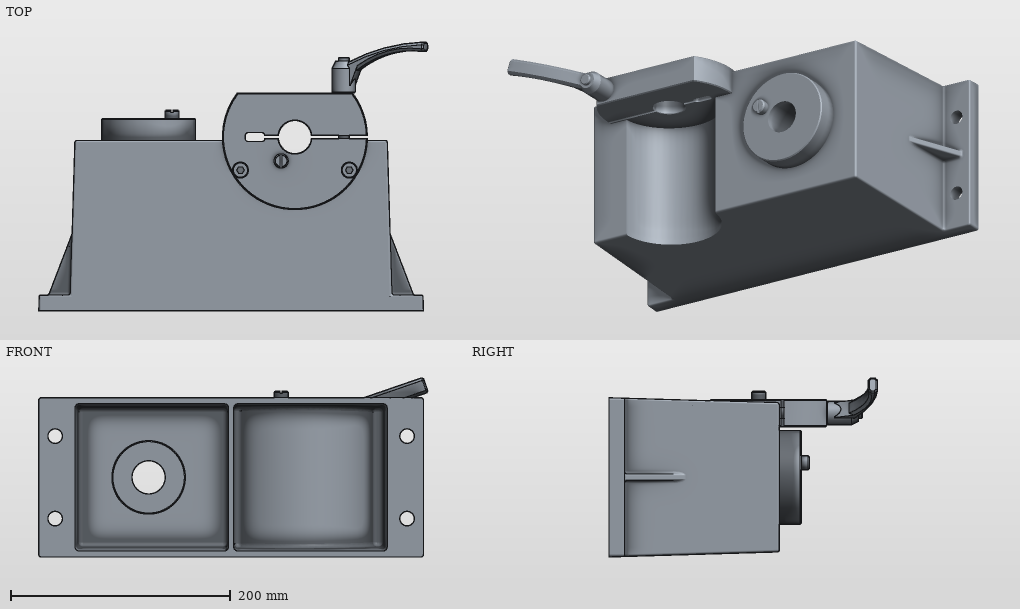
import cadquery as cq
import math


plate_length = 350.0
plate_height = 145.0
plate_thickness = 14.3
plate_edge_radius = 1.5
plate_corner_radius = 2.5
body_length = 293.5
body_depth = 155.0
body_draft = 1.7
body_edge_radius = 2.0
joint_radius = 2.5
mount_hole_diameter = 13.0
mount_hole_span_x = 320.0
mount_hole_span_z = 75.0

margin = 1.0

rib_thickness = 6.0
rib_foot_x = 166.0
rib_tip_y = 70.0
rib_edge_radius = 1.5

wall = 6.0
left_chamber_depth = 95.0
right_chamber_depth = body_depth - wall
chamber_outer_x = 142.0
chamber_outer_x_at_floor = 138.3
partition_half = 2.3
partition_half_at_floor = 3.3
chamber_half_height = 67.0
chamber_half_height_at_floor = 62.9
chamber_radius = 4.0

bore_diameter = 30.0
bore_chamfer = 0.5
bush_x = -75.0
bush_flange_diameter = 85.5
bush_flange_thickness = 20.0
spigot_diameter = 67.0
bush_chamfer = 1.0

pin_diameter = 13.0
pin_protrusion = 7.5
pin_depth = 12.0
pin_chamfer = 1.2
pin_circle_radius = 25.0
pin_slot_width = 2.0
pin_slot_depth = 2.0
bush_pin_angle = 32.0
clamp_pin_angle = 240.0

clamp_x = 58.0
clamp_y = 158.0
clamp_radius = 66.0
clamp_top_z = 71.0
clamp_thickness = 25.0
clamp_flat_offset = 40.0
clamp_chamfer = 1.0
slit_width = 3.0
hinge_slot_width = 8.0
hinge_slot_corner_radius = 2.5
hinge_slot_inner = 27.5
hinge_slot_outer = 45.0
clamp_bottom_z = clamp_top_z - clamp_thickness
clamp_mid_z = clamp_top_z - clamp_thickness / 2
clamp_flat_y = clamp_y + clamp_flat_offset

notch_radius = 48.0
round_wall_radius = clamp_radius + wall

screw_offset_x = 49.5
screw_offset_y = -30.0
screw_diameter = 8.0
screw_head_diameter = 13.0
screw_head_height = 8.0
screw_length = 40.0
screw_socket_flats = 6.0
screw_socket_depth = 4.0
counterbore_diameter = 14.5
counterbore_depth = 8.5

lever_x = clamp_x + 44.5
lever_angle = 19.0
stud_diameter = 10.0
stud_depth = 58.0
collar_radius = 9.5
collar_height = 1.0
hub_radius = 10.8
hub_shoulder_height = 22.5
hub_top_height = 29.0
hub_top_radius = 7.5
cap_radius = 5.0
cap_height = 32.5
cap_chamfer = 0.8
arm_length = 78.8
arm_width = 14.6
arm_top_y = 244.5
arm_root_x = 1.0
arm_root_bottom = 7.0
arm_root_top = 25.5
arm_web_foot = (8.5, arm_root_bottom)
arm_web_end = (13.7, 20.5)
arm_lower_arc_middle = (38.0, 33.7)
arm_upper_arc_middle = (40.0, 41.0)
arm_tip_thickness = 9.0
arm_edge_chamfer = 2.5
arm_tip_chamfer = 1.5


def y_plane(x, y, z):
    """Workplane facing +Y whose local x is the global Z and local y the global X."""
    return cq.Workplane(cq.Plane(origin=(x, y, z), xDir=(0, 0, 1), normal=(0, 1, 0)))


def z_cylinder(x, y, radius, z_low, z_high):
    return cq.Workplane(origin=(x, y, z_low)).circle(radius).extrude(z_high - z_low)


def slotted_pin():
    """Pin along +Z with its seating plane on z = 0."""
    length = pin_depth + pin_protrusion
    blank = cq.Workplane(origin=(0, 0, -pin_depth)).circle(pin_diameter / 2).extrude(length)
    blank = blank.faces(">Z").chamfer(pin_chamfer)
    slot = cq.Workplane(origin=(0, 0, pin_protrusion - pin_slot_depth / 2))
    slot = slot.box(pin_slot_width, 2 * pin_diameter, pin_slot_depth)
    return blank.cut(slot)


def pin_hole():
    return cq.Workplane(origin=(0, 0, -pin_depth)).circle(pin_diameter / 2).extrude(pin_depth)


def on_clamp(shape):
    """Move a pin-shaped body from the origin to its place on the clamp."""
    angle = math.radians(clamp_pin_angle)
    x = clamp_x + pin_circle_radius * math.cos(angle)
    y = clamp_y + pin_circle_radius * math.sin(angle)
    return shape.translate((x, y, clamp_top_z))


def on_bush(shape):
    """Turn a pin-shaped body to point along +Y and move it to its place on the bush."""
    angle = math.radians(bush_pin_angle)
    x = bush_x + pin_circle_radius * math.cos(angle)
    z = pin_circle_radius * math.sin(angle)
    turned = shape.rotate((0, 0, 0), (1, 0, 0), -90)
    return turned.translate((x, body_depth + bush_flange_thickness, z))


def housing_shell():
    body = y_plane(0, 0, 0).rect(plate_height, body_length).extrude(body_depth, taper=body_draft)
    body = body.edges("not(<Y)").fillet(body_edge_radius)
    outline = cq.Sketch().rect(plate_height, plate_length).vertices().fillet(plate_corner_radius)
    plate = y_plane(0, 0, 0).placeSketch(outline).extrude(plate_thickness, taper=body_draft)
    plate = plate.faces(">Y").edges().fillet(plate_edge_radius)
    return plate.union(body)


def drafted_envelope():
    """Prism on the plate outline that holds the corner fillets within the drafted faces."""
    return y_plane(0, 0, 0).rect(plate_height, plate_length).extrude(body_depth, taper=body_draft)


def rib(side):
    inner_x = body_length / 2 - wall / 2
    face_x = body_length / 2 - rib_tip_y * math.tan(math.radians(body_draft))
    outline = [
        (side * inner_x, plate_thickness / 2),
        (side * rib_foot_x, plate_thickness / 2),
        (side * rib_foot_x, plate_thickness),
        (side * face_x, rib_tip_y),
        (side * inner_x, rib_tip_y),
    ]
    return cq.Workplane("XY").polyline(outline).close().extrude(rib_thickness / 2, both=True)


def rib_slope_edges(side):
    """Selects the two sloping edges of a rib, by their midpoints."""
    x = (rib_foot_x + body_length / 2) / 2
    y = (plate_thickness + rib_tip_y) / 2
    reach = rib_thickness
    near = (side * (x - reach), y - reach, -reach)
    far = (side * (x + reach), y + reach, reach)
    return cq.selectors.BoxSelector(near, far)


def joint_edges(side):
    """Selects the inner corners where plate, body end and rib meet."""
    inner_x = side * (body_length / 2 - wall)
    outer_x = side * (rib_foot_x + margin)
    half_height = plate_height / 2 - margin
    plate_corners = cq.selectors.BoxSelector(
        (inner_x, plate_thickness - margin, -half_height),
        (outer_x, plate_thickness + margin, half_height),
    )
    rib_corners = cq.selectors.BoxSelector(
        (inner_x, plate_thickness, -rib_thickness),
        (side * (body_length / 2 + margin), rib_tip_y + margin, rib_thickness),
    )
    return cq.selectors.SumSelector(plate_corners, rib_corners)


def chamber(side):
    """Drafted cavity on one side of the partition, open at the mounting face."""
    def section(plane, inner, outer, half_height):
        return plane.center(0, side * (inner + outer) / 2).rect(2 * half_height, outer - inner)

    front = section(y_plane(0, 0, 0), partition_half, chamber_outer_x, chamber_half_height)
    depth = right_chamber_depth if side > 0 else left_chamber_depth
    floor = section(y_plane(0, depth, 0), partition_half_at_floor,
                    chamber_outer_x_at_floor, chamber_half_height_at_floor)
    wires = [front.val(), floor.val()]
    cavity = cq.Workplane(cq.Solid.makeLoft(wires, True))
    if side > 0:
        cavity = cavity.cut(z_cylinder(clamp_x, clamp_y, round_wall_radius, -plate_height, plate_height))
    return cavity.edges("not(<Y)").fillet(chamber_radius)


def mount_holes():
    plane = y_plane(0, 0, 0).rect(mount_hole_span_z, mount_hole_span_x, forConstruction=True)
    return plane.vertices().circle(mount_hole_diameter / 2).extrude(plate_thickness)


def spigot_blank():
    length = body_depth - left_chamber_depth
    return y_plane(bush_x, left_chamber_depth, 0).circle(spigot_diameter / 2).extrude(length)


def screw_shanks():
    shanks = cq.Workplane(origin=(clamp_x, clamp_y, clamp_top_z - counterbore_depth))
    shanks = shanks.pushPoints([(side * screw_offset_x, screw_offset_y) for side in (-1, 1)])
    return shanks.circle(screw_diameter / 2).extrude(-screw_length)


housing = housing_shell()
for side in (-1, 1):
    housing = housing.union(rib(side))
    housing = housing.edges(rib_slope_edges(side)).fillet(rib_edge_radius)
    housing = housing.edges(joint_edges(side)).fillet(joint_radius)
    housing = housing.cut(chamber(side))
housing = housing.intersect(drafted_envelope())
housing = housing.cut(mount_holes())
housing = housing.cut(z_cylinder(clamp_x, clamp_y, clamp_radius, clamp_bottom_z, plate_height))
housing = housing.cut(z_cylinder(clamp_x, clamp_y, notch_radius, -plate_height, plate_height))
housing = housing.cut(spigot_blank())
housing = housing.cut(screw_shanks())

spigot = spigot_blank().faces("<Y").chamfer(bush_chamfer)
bush = y_plane(bush_x, body_depth, 0).circle(bush_flange_diameter / 2).extrude(bush_flange_thickness)
bush = bush.faces(">Y").chamfer(bush_chamfer).union(spigot)
bush = bush.cut(y_plane(bush_x, 0, 0).circle(bore_diameter / 2).extrude(2 * body_depth))
bush = bush.cut(on_bush(pin_hole()))


def clamp_disc():
    disc = z_cylinder(clamp_x, clamp_y, clamp_radius, clamp_bottom_z, clamp_top_z)
    beyond_flat = cq.Workplane(origin=(clamp_x, clamp_flat_y + clamp_radius, clamp_mid_z))
    disc = disc.cut(beyond_flat.box(2 * clamp_radius, 2 * clamp_radius, 2 * clamp_thickness))
    return disc.faces("<Z or >Z").chamfer(clamp_chamfer)


def clamp_slits():
    """Narrow slit from the hinge slot through the bore to the rim, and the hinge slot."""
    plane = cq.Workplane(origin=(clamp_x, clamp_y, clamp_bottom_z))
    hinge_middle = -(hinge_slot_inner + hinge_slot_outer) / 2
    hinge = plane.center(hinge_middle, 0)
    hinge = hinge.rect(hinge_slot_outer - hinge_slot_inner, hinge_slot_width).extrude(clamp_thickness)
    hinge = hinge.edges("|Z").fillet(hinge_slot_corner_radius)
    slit_end = clamp_radius + slit_width
    slit = plane.center((hinge_middle + slit_end) / 2, 0)
    return slit.rect(slit_end - hinge_middle, slit_width).extrude(clamp_thickness).union(hinge)


def counterbores():
    bores = cq.Workplane(origin=(clamp_x, clamp_y, clamp_top_z))
    bores = bores.pushPoints([(side * screw_offset_x, screw_offset_y) for side in (-1, 1)])
    return bores.circle(counterbore_diameter / 2).extrude(-counterbore_depth)


def stud():
    return y_plane(lever_x, clamp_flat_y, clamp_mid_z).circle(stud_diameter / 2).extrude(-stud_depth)


clamp = clamp_disc()
clamp = clamp.cut(z_cylinder(clamp_x, clamp_y, bore_diameter / 2, clamp_bottom_z, clamp_top_z))
clamp = clamp.edges(cq.selectors.RadiusNthSelector(0)).chamfer(bore_chamfer)
clamp = clamp.cut(clamp_slits())
clamp = clamp.cut(counterbores()).cut(screw_shanks())
clamp = clamp.cut(stud()).cut(on_clamp(pin_hole()))


def socket_screw(side):
    seat_z = clamp_top_z - counterbore_depth
    seat = cq.Workplane(origin=(clamp_x + side * screw_offset_x, clamp_y + screw_offset_y, seat_z))
    head = seat.circle(screw_head_diameter / 2).extrude(screw_head_height)
    shank = seat.circle(screw_diameter / 2).extrude(-screw_length)
    socket_diameter = screw_socket_flats / math.cos(math.radians(30))
    socket = seat.workplane(offset=screw_head_height).polygon(6, socket_diameter).extrude(-screw_socket_depth)
    return head.union(shank).cut(socket)


def lever_hub():
    """Collar, cylinder, tapered shoulder and end cap, turned about the stud axis."""
    profile = [
        (0, 0),
        (collar_radius, 0),
        (collar_radius, collar_height),
        (hub_radius, collar_height),
        (hub_radius, hub_shoulder_height),
        (hub_top_radius, hub_top_height),
        (cap_radius, hub_top_height),
        (cap_radius, cap_height - cap_chamfer),
        (cap_radius - cap_chamfer, cap_height),
        (0, cap_height),
    ]
    return cq.Workplane("XY").polyline(profile).close().revolve(360, (0, 0), (0, 1))


def lever_arm():
    """Curved handle; local x runs out from the stud axis, local y up from the clamp flat."""
    top = arm_top_y - clamp_flat_y
    tip_bottom = top - arm_tip_thickness
    return (
        cq.Workplane("XY")
        .moveTo(arm_root_x, arm_root_bottom)
        .lineTo(*arm_web_foot)
        .lineTo(*arm_web_end)
        .threePointArc(arm_lower_arc_middle, (arm_length, tip_bottom))
        .lineTo(arm_length, top)
        .threePointArc(arm_upper_arc_middle, (arm_root_x, arm_root_top))
        .close()
        .extrude(arm_width / 2, both=True)
        .edges("%CIRCLE")
        .chamfer(arm_edge_chamfer)
        .faces(">X")
        .chamfer(arm_tip_chamfer)
    )


lever = lever_hub().union(lever_arm())
lever = lever.rotate((0, 0, 0), (0, 1, 0), -lever_angle).translate((lever_x, clamp_flat_y, clamp_mid_z))
lever = lever.union(stud())

pins = [on_bush(slotted_pin()), on_clamp(slotted_pin())]
screws = [socket_screw(side) for side in (-1, 1)]
bodies = [housing, bush, clamp, lever, *pins, *screws]
result = cq.Compound.makeCompound([body.solids().val() for body in bodies])